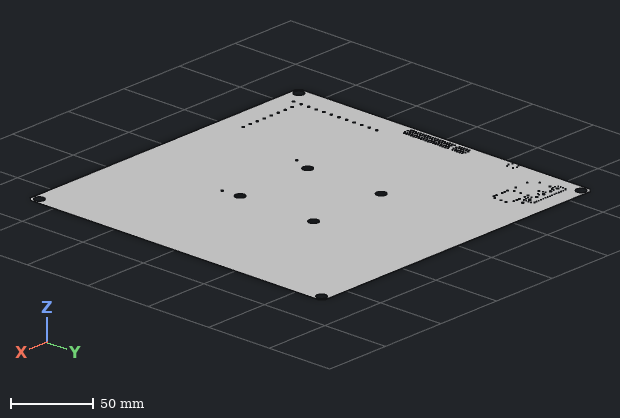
import cadquery as cq
import math

board_size = 244.0
board_thickness = 0.21
corner_chamfer = 3.0

mount_diameter = 7.0
corner_inset = 5.4
centre_pitch = 60.8
centre_square_x = -0.12
centre_square_y = 0.2

pin_diameter = 1.55
pin_row_offset = -104.5
pin_column_count = 12
pin_column_top = -41.0
pin_column_span = 68.8
pin_row_count = 8
pin_row_start = -97.4
pin_row_span = 44.0
header_count = 6
header_start = (-109.3, 104.0)
header_span = 31.2
pair_left_x = -35.6
pair_right_x = 31.5
pair_y = -44.0

contact_diameter = 0.83
contact_pitch = 1.0
contact_count = 49
contacts_above_key = 11
key_gap = 2 * contact_pitch
connector_x = -115.5
connector_top = 23.5
inner_offset = 1.27
outer_offset = 3.2

stitch_diameter = 0.54
stitch_pitch = 2.0
fence_top_count = 15
fence_side_count = 4
fence_x = -97.0
fence_half_width = 15.4
fence_top_y = 108.8
fence_left_start = 107.5
fence_right_start = 107.4
fence_lower_half = [(13.2, 101.0), (11.2, 101.0), (9.3, 102.0), (3.0, 102.5), (2.2, 101.0)]
fence_extra_points = [(-106.0, 104.0), (-82.7, 109.3), (-82.5, 101.5)]
ring_centre = (-117.9, 59.0)
ring_radius = 3.5
ring_angles = [45, 90, 135, 225, 270, 315]

via_diameter = 1.05
via_upper_y = 98.3
via_upper_x = [-108.5, -98.5, -88.8, -86.0, -81.3, -78.8, -76.1]
via_lower_y = 84.0
via_lower_x = [-103.7, -93.5, -86.1, -83.7, -81.3, -76.1, -74.0]
via_inner_x = -88.5
via_inner_y = [92.5, 87.0]
via_right_x = -72.0
via_right_y = [95.6, 91.5, 86.4]
via_left = (-108.8, 89.5)


def spread(start, span, count):
    """Evenly spaced values from start to start + span."""
    return [start + span * i / (count - 1) for i in range(count)]


def square_points(half, x=0.0, y=0.0):
    """Corners of a square with the given half side, centred at (x, y)."""
    return [(x + sx * half, y + sy * half) for sx in (-1, 1) for sy in (-1, 1)]


def pin_points():
    """Both legs of the L, the header row and the separate pair."""
    column = [(pin_row_offset, y) for y in spread(pin_column_top, -pin_column_span, pin_column_count)]
    row = [(x, pin_row_offset) for x in spread(pin_row_start, pin_row_span, pin_row_count)]
    header_x, header_y = header_start
    header = [(x, header_y) for x in spread(header_x, header_span, header_count)]
    pair = [(pair_left_x, pair_y), (pair_right_x, pair_y)]
    return column + row + header + pair


def contact_points():
    """Contacts alternate between the inner and outer columns, mirrored about the connector axis."""
    points = []
    for i in range(contact_count):
        y = connector_top - i * contact_pitch
        if i >= contacts_above_key:
            y -= key_gap
        offset = inner_offset if i % 2 == 0 else outer_offset
        points += [(connector_x - offset, y), (connector_x + offset, y)]
    return points


def fence_points():
    """Straight top and sides, with the lower edge mirrored about the fence centre."""
    top_span = (fence_top_count - 1) * stitch_pitch
    side_span = (fence_side_count - 1) * stitch_pitch
    points = [(x, fence_top_y) for x in spread(fence_x - top_span / 2, top_span, fence_top_count)]
    for side, start in ((-1, fence_left_start), (1, fence_right_start)):
        side_x = fence_x + side * fence_half_width
        points += [(side_x, y) for y in spread(start, -side_span, fence_side_count)]
        points += [(fence_x + side * distance, y) for distance, y in fence_lower_half]
    return points + fence_extra_points


def ring_points():
    x, y = ring_centre
    angles = [math.radians(angle) for angle in ring_angles]
    return [(x + ring_radius * math.cos(a), y + ring_radius * math.sin(a)) for a in angles]


def via_points():
    upper = [(x, via_upper_y) for x in via_upper_x]
    lower = [(x, via_lower_y) for x in via_lower_x]
    inner = [(via_inner_x, y) for y in via_inner_y]
    right = [(via_right_x, y) for y in via_right_y]
    return upper + lower + inner + right + [via_left]


outline = (
    cq.Sketch()
    .rect(board_size, board_size)
    .vertices()
    .chamfer(corner_chamfer)
    .reset()
)
mount_points = square_points(board_size / 2 - corner_inset)
mount_points += square_points(centre_pitch / 2, centre_square_x, centre_square_y)
hole_groups = [
    (mount_points, mount_diameter),
    (pin_points(), pin_diameter),
    (contact_points(), contact_diameter),
    (fence_points() + ring_points(), stitch_diameter),
    (via_points(), via_diameter),
]
for points, diameter in hole_groups:
    outline = outline.push(points).circle(diameter / 2, mode="s").reset()

result = cq.Workplane("XY").placeSketch(outline).extrude(board_thickness)